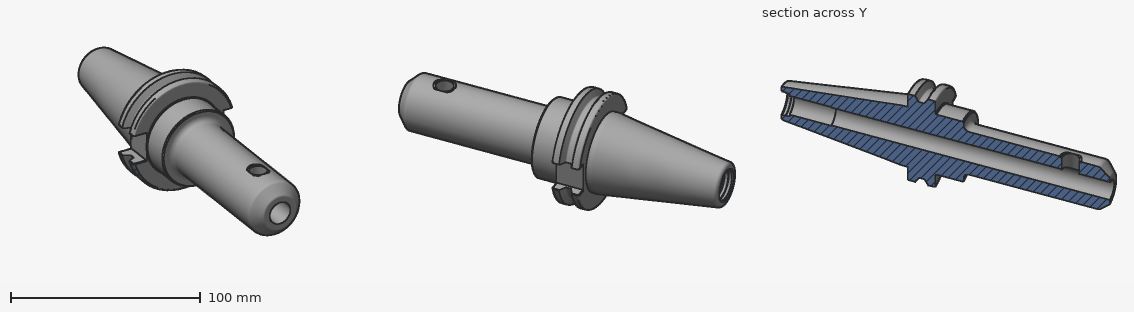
import cadquery as cq
import math

TAPER_LENGTH = 68.25
FLANGE_START = 3.18
FLANGE_WIDTH = 15.87
COLLAR_END = 34.92
NOSE_END = 117.35

GAUGE_DIAMETER = 44.45
TAPER_RATE = 7 / 24
FLANGE_DIAMETER = 63.5
SHANK_DIAMETER = 31.75
NOSE_CHAMFER = 5.95

TAPER_END_FILLET = 2.0
FLANGE_EDGE_FILLET = 1.0
FLANGE_ROOT_FILLET = 0.5
COLLAR_EDGE_CHAMFER = 0.7
SHANK_ROOT_FILLET = 3.18
NOSE_FILLET = 2.54
NOSE_END_FILLET = 1.5

GROOVE_TOP_WIDTH = 7.4
GROOVE_BOTTOM_DIAMETER = 55.9
GROOVE_HALF_ANGLE = 30
GROOVE_ROOT_FILLET = 0.6

SLOT_WIDTH = 16.3
SLOT_EDGE_CHAMFER = 0.42
SLOT_FLOOR_PLUS_Y = 25.0
SLOT_FLOOR_MINUS_Y = 22.6

BORE_DIAMETER = 12.7
THREAD_DIAMETER = 13.39
THREAD_END_DEPTH = 28.5
PILOT_DIAMETER = 16.3
PILOT_DEPTH = 4.8
ENTRY_DIAMETER = 16.8
ENTRY_DEPTH = 2.6
MOUTH_DIAMETER = 18.3

SCREW_HOLE_DIAMETER = 9.73
SCREW_HOLE_SETBACK = 22.225
SPOTFACE_DIAMETER = 12.0
SPOTFACE_DEPTH = 0.75

EDGE_TOLERANCE = 0.01

flange_end = FLANGE_START + FLANGE_WIDTH
flange_middle = FLANGE_START + FLANGE_WIDTH / 2
gauge_radius = GAUGE_DIAMETER / 2
taper_end_radius = (GAUGE_DIAMETER - TAPER_RATE * TAPER_LENGTH) / 2
flange_radius = FLANGE_DIAMETER / 2
shank_radius = SHANK_DIAMETER / 2


def revolve_about_x(profile):
    """Full turn about X of a closed (X, radius) profile drawn in the XY plane."""
    return profile.close().revolve(360, (0, 0, 0), (1, 0, 0))


def circular_edge(solid, station, diameter):
    """Edges of the given diameter centred on the X axis at a station along it."""

    def disc_box(radius):
        return cq.selectors.BoxSelector(
            (station - EDGE_TOLERANCE, -radius, -radius),
            (station + EDGE_TOLERANCE, radius, radius),
            boundingbox=True,
        )

    return solid.edges(disc_box(diameter / 2 + EDGE_TOLERANCE) - disc_box(diameter / 2 - EDGE_TOLERANCE))


def make_body():
    body = revolve_about_x(
        cq.Workplane("XY")
        .moveTo(-TAPER_LENGTH, 0)
        .lineTo(-TAPER_LENGTH, taper_end_radius)
        .lineTo(0, gauge_radius)
        .lineTo(FLANGE_START, gauge_radius)
        .lineTo(FLANGE_START, flange_radius)
        .lineTo(flange_end, flange_radius)
        .lineTo(flange_end, gauge_radius)
        .lineTo(COLLAR_END, gauge_radius)
        .lineTo(COLLAR_END, shank_radius)
        .lineTo(NOSE_END - NOSE_CHAMFER, shank_radius)
        .lineTo(NOSE_END, shank_radius - NOSE_CHAMFER)
        .lineTo(NOSE_END, 0)
    )
    rounded_edges = [
        (-TAPER_LENGTH, 2 * taper_end_radius, TAPER_END_FILLET),
        (FLANGE_START, FLANGE_DIAMETER, FLANGE_EDGE_FILLET),
        (flange_end, FLANGE_DIAMETER, FLANGE_EDGE_FILLET),
        (flange_end, GAUGE_DIAMETER, FLANGE_ROOT_FILLET),
        (COLLAR_END, SHANK_DIAMETER, SHANK_ROOT_FILLET),
        (NOSE_END - NOSE_CHAMFER, SHANK_DIAMETER, NOSE_FILLET),
        (NOSE_END, SHANK_DIAMETER - 2 * NOSE_CHAMFER, NOSE_END_FILLET),
    ]
    for station, diameter, radius in rounded_edges:
        body = circular_edge(body, station, diameter).fillet(radius)
    return circular_edge(body, COLLAR_END, GAUGE_DIAMETER).chamfer(COLLAR_EDGE_CHAMFER)


def make_groove():
    bottom_radius = GROOVE_BOTTOM_DIAMETER / 2
    side_run = (flange_radius - bottom_radius) * math.tan(math.radians(GROOVE_HALF_ANGLE))
    top_half = GROOVE_TOP_WIDTH / 2
    bottom_half = top_half - side_run
    groove = revolve_about_x(
        cq.Workplane("XY")
        .moveTo(flange_middle - bottom_half, bottom_radius)
        .lineTo(flange_middle - top_half, flange_radius)
        .lineTo(flange_middle + top_half, flange_radius)
        .lineTo(flange_middle + bottom_half, bottom_radius)
    )
    for station in (flange_middle - bottom_half, flange_middle + bottom_half):
        groove = circular_edge(groove, station, GROOVE_BOTTOM_DIAMETER).fillet(GROOVE_ROOT_FILLET)
    return groove


def cut_slot(body, floor, side):
    """Cut a drive slot on the +Y (side = 1) or -Y (side = -1) side and break its wall edges."""
    depth = flange_radius - floor
    slot = (
        cq.Workplane("XY")
        .box(FLANGE_WIDTH, depth, SLOT_WIDTH)
        .translate((flange_middle, side * (floor + depth / 2), 0))
    )
    body = body.cut(slot)
    half_width = SLOT_WIDTH / 2
    near, far = sorted((side * (floor + EDGE_TOLERANCE), side * (flange_radius + EDGE_TOLERANCE)))
    for wall_z in (-half_width, half_width):
        wall_edges = cq.selectors.BoxSelector(
            (FLANGE_START - EDGE_TOLERANCE, near, wall_z - EDGE_TOLERANCE),
            (flange_end + EDGE_TOLERANCE, far, wall_z + EDGE_TOLERANCE),
        )
        body = body.edges(wall_edges).chamfer(SLOT_EDGE_CHAMFER)
    return body


def make_bore():
    bore_radius = BORE_DIAMETER / 2
    thread_radius = THREAD_DIAMETER / 2
    pilot_radius = PILOT_DIAMETER / 2
    entry_radius = ENTRY_DIAMETER / 2
    mouth_radius = MOUTH_DIAMETER / 2
    mouth_depth = mouth_radius - entry_radius
    entry_taper = entry_radius - pilot_radius
    return revolve_about_x(
        cq.Workplane("XY")
        .moveTo(-TAPER_LENGTH, 0)
        .lineTo(-TAPER_LENGTH, mouth_radius)
        .lineTo(-TAPER_LENGTH + mouth_depth, entry_radius)
        .lineTo(-TAPER_LENGTH + ENTRY_DEPTH, entry_radius)
        .lineTo(-TAPER_LENGTH + ENTRY_DEPTH + entry_taper, pilot_radius)
        .lineTo(-TAPER_LENGTH + PILOT_DEPTH, pilot_radius)
        .lineTo(-TAPER_LENGTH + PILOT_DEPTH, thread_radius)
        .lineTo(-TAPER_LENGTH + THREAD_END_DEPTH, thread_radius)
        .lineTo(-TAPER_LENGTH + THREAD_END_DEPTH, bore_radius)
        .lineTo(NOSE_END, bore_radius)
        .lineTo(NOSE_END, 0)
    )


def make_screw_hole():
    """Hole from the top of the shank into the bore, with its spotface."""
    hole = cq.Workplane("XY").circle(SCREW_HOLE_DIAMETER / 2).extrude(shank_radius)
    spotface = (
        cq.Workplane("XY")
        .workplane(offset=shank_radius - SPOTFACE_DEPTH)
        .circle(SPOTFACE_DIAMETER / 2)
        .extrude(SPOTFACE_DEPTH)
    )
    return hole.union(spotface).translate((NOSE_END - SCREW_HOLE_SETBACK, 0, 0))


body = make_body()
body = cut_slot(body, SLOT_FLOOR_PLUS_Y, 1)
body = cut_slot(body, SLOT_FLOOR_MINUS_Y, -1)
result = body.cut(make_groove()).cut(make_bore()).cut(make_screw_hole())